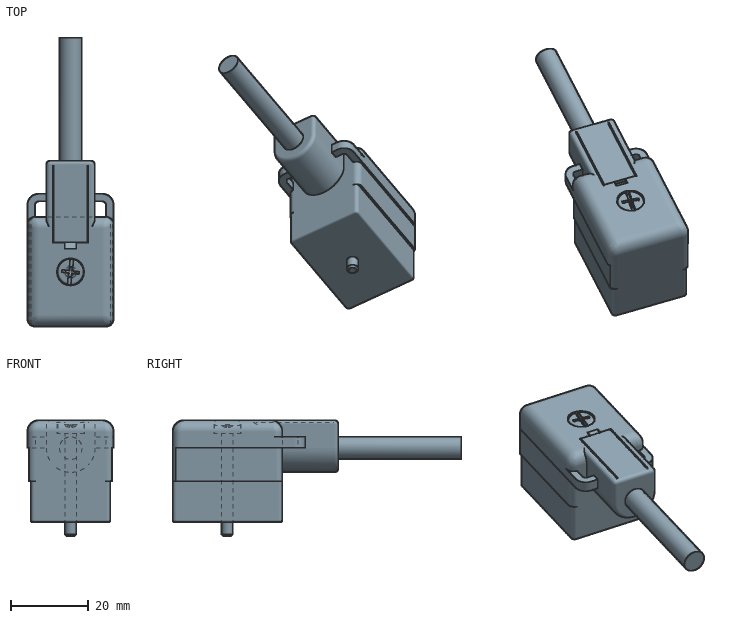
import cadquery as cq


overall_length = 74.9
block_length = 28.45
block_height = 26.45
cap_width = 22.4
middle_width = 21.6
lower_width = 20.7
lower_top = 10.6
cap_bottom = 19.25
cap_top_radius = 3.0
corner_radius = 2.0
middle_back_radius = corner_radius - (cap_width - middle_width) / 2
lower_corner_radius = 1.0
bottom_edge_radius = 0.5

loop_top = 22.1
loop_end = 34.45
loop_outer_radius = 3.0
loop_bar = 2.0
loop_inner_radius = loop_outer_radius - loop_bar

boot_radius = 6.3
boot_end = 43.0
boot_edge_radius = 1.0
cable_diameter = 5.85

label_width = 9.15
label_front = 21.7
label_back = 41.65
label_side_gap = 0.2
label_front_gap = 0.1
label_gap_depth = 0.5
ramp_width = 3.0
ramp_length = 1.5
ramp_depth = 1.05

screw_y = 14.15
head_hole_radius = 3.5
head_clearance = 0.15
head_radius = head_hole_radius - head_clearance
head_height = 3.4
head_edge_radius = 0.5
shaft_radius = 1.5
shaft_protrusion = 3.6
tip_chamfer = 0.5

drive_angle = -6.4
slot_width = 0.9
slot_depth = 1.35
cross_arm_width = 0.7
cross_top_radius = 2.25
cross_floor_radius = 1.3
cross_wall_depth = 1.5
cross_depth = 2.1


def plan_box(width, length, bottom, top):
    """Box centred on X that starts at the front face."""
    box = cq.Workplane("XY").box(width, length, top - bottom, centered=(True, False, False))
    return box.translate((0, 0, bottom))


def cap_tier():
    """Top tier: rounded top edges, then rounded corners running up over the mitred seams."""
    cap = plan_box(cap_width, block_length, cap_bottom, block_height)
    cap = cap.faces(">Z").edges().fillet(cap_top_radius)
    return cap.edges("|Z or (not #Z)").fillet(corner_radius)


def middle_tier():
    """Middle tier: the front corners are the cap's own corners, trimmed by the narrower sides."""
    front_corners = plan_box(cap_width, block_length, lower_top, cap_bottom)
    front_corners = front_corners.edges("|Z and <Y").fillet(corner_radius)
    sides = plan_box(middle_width, block_length, lower_top, cap_bottom)
    sides = sides.edges("|Z and >Y").fillet(middle_back_radius)
    return sides.intersect(front_corners)


def lower_tier():
    lower = plan_box(lower_width, block_length, 0, lower_top)
    lower = lower.edges("|Z").fillet(lower_corner_radius)
    return lower.faces("<Z").edges().fillet(bottom_edge_radius)


def carrying_loop():
    """Flat U-shaped bar that continues the sides of the cap behind the block."""
    root = block_length - loop_outer_radius
    outer = plan_box(cap_width, loop_end - root, cap_bottom, loop_top).translate((0, root, 0))
    outer = outer.edges("|Z and >Y").fillet(loop_outer_radius)
    window_length = loop_end - loop_bar - block_length
    window = plan_box(cap_width - 2 * loop_bar, window_length, cap_bottom, loop_top)
    window = window.translate((0, block_length, 0)).edges("|Z and >Y").fillet(loop_inner_radius)
    return outer.cut(window)


def cable_boot():
    """Sleeve with a flat top and a half-round underside, rounded at its top and end edges."""
    root = label_front
    boot = (
        cq.Workplane("XZ", origin=(0, root, 0))
        .moveTo(-boot_radius, block_height)
        .lineTo(-boot_radius, cap_bottom)
        .threePointArc((0, cap_bottom - boot_radius), (boot_radius, cap_bottom))
        .lineTo(boot_radius, block_height)
        .close()
        .extrude(-(boot_end - root))
    )
    return boot.edges("(|Y and >Z) or >Y").fillet(boot_edge_radius)


def cable():
    return (
        cq.Workplane("XZ", origin=(0, boot_end - boot_edge_radius, cap_bottom))
        .circle(cable_diameter / 2)
        .extrude(-(overall_length - boot_end + boot_edge_radius))
    )


def label_gaps():
    """Two side gaps and a hairline front gap around the label plate."""
    gap_bottom = block_height - label_gap_depth
    gaps = plan_box(label_width, label_front_gap, gap_bottom, block_height).translate((0, label_front, 0))
    gap_x = (label_width - label_side_gap) / 2
    for side in (-1, 1):
        gap = plan_box(label_side_gap, label_back - label_front, gap_bottom, block_height)
        gaps = gaps.union(gap.translate((side * gap_x, label_front, 0)))
    return gaps


def pry_ramp():
    """Wedge-shaped notch, deepest at the front edge of the label plate."""
    ramp_start = label_front - ramp_length
    ramp_end = label_front + label_front_gap
    return (
        cq.Workplane("YZ")
        .moveTo(ramp_start, block_height)
        .lineTo(ramp_end, block_height)
        .lineTo(ramp_end, block_height - ramp_depth)
        .close()
        .extrude(ramp_width / 2, both=True)
    )


def turned(points):
    """Solid of revolution about the screw axis from (radius, height) points."""
    profile = cq.Workplane("XZ").polyline(points).close()
    return profile.revolve(360, (0, 0), (0, 1)).translate((0, screw_y, 0))


def screw_hole():
    """Stepped hole that holds the shaft closely and leaves a thin ring around the head."""
    shoulder = block_height - head_height
    return turned([
        (0, 0),
        (shaft_radius, 0),
        (shaft_radius, shoulder),
        (head_hole_radius, shoulder),
        (head_hole_radius, block_height),
        (0, block_height),
    ])


def screw_drive():
    """Straight slot across the head plus a tapered cross recess in the middle."""
    slot = cq.Workplane("XY").box(slot_width, 2 * head_radius, 2 * slot_depth)
    arms = cq.Workplane("XY").box(cross_arm_width, 2 * cross_top_radius, 2 * cross_depth)
    arms = arms.union(arms.rotate((0, 0, 0), (0, 0, 1), 90))
    taper = (
        cq.Workplane("XZ")
        .polyline([
            (0, 0),
            (cross_top_radius, 0),
            (cross_floor_radius, -cross_wall_depth),
            (0, -cross_depth),
        ])
        .close()
        .revolve(360, (0, 0), (0, 1))
    )
    drive = slot.union(arms.intersect(taper))
    return drive.rotate((0, 0, 0), (0, 0, 1), drive_angle).translate((0, screw_y, block_height))


def make_housing():
    housing = cap_tier().union(middle_tier()).union(lower_tier())
    housing = housing.union(carrying_loop()).union(cable_boot()).union(cable())
    return housing.cut(label_gaps().union(pry_ramp())).cut(screw_hole())


def make_screw():
    shoulder = block_height - head_height
    screw = turned([
        (0, -shaft_protrusion),
        (shaft_radius - tip_chamfer, -shaft_protrusion),
        (shaft_radius, -shaft_protrusion + tip_chamfer),
        (shaft_radius, shoulder),
        (head_radius, shoulder),
        (head_radius, block_height),
        (0, block_height),
    ])
    screw = screw.edges(">Z").fillet(head_edge_radius)
    return screw.cut(screw_drive())


housing = make_housing()
screw = make_screw()
result = cq.Compound.makeCompound([housing.solids().val(), screw.solids().val()])